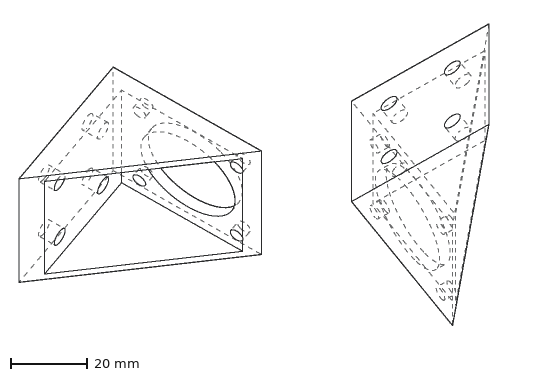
import cadquery as cq

width = 47.3
depth = 43.5
height = 47.3

side_wall = 5.0
back_wall = 3.4
end_wall = 2.5

motor_x = 26.15
motor_bore_diameter = 30.0
motor_screw_pitch = 31.0
motor_screw_diameter = 4.0

fixing_y = -21.9
fixing_z = 23.75
fixing_pitch_y = 20.0
fixing_pitch_z = 24.97
fixing_diameter = 5.0

motor_z = height / 2


def make_wedge():
    outline = [(0, 0), (width, 0), (0, -depth)]
    return cq.Workplane("XY").polyline(outline).close().extrude(height)


def make_pocket():
    return cq.Workplane("XY").box(
        width, depth, height - 2 * end_wall, centered=False
    ).translate((side_wall, -back_wall - depth, end_wall))


def make_motor_holes():
    face = cq.Workplane("XZ", origin=(motor_x, 0, motor_z))
    bore = face.circle(motor_bore_diameter / 2).extrude(back_wall)
    screws = (
        face.rect(motor_screw_pitch, motor_screw_pitch, forConstruction=True)
        .vertices()
        .circle(motor_screw_diameter / 2)
        .extrude(back_wall)
    )
    return bore.union(screws)


def make_fixing_holes():
    return (
        cq.Workplane("YZ", origin=(0, fixing_y, fixing_z))
        .rect(fixing_pitch_y, fixing_pitch_z, forConstruction=True)
        .vertices()
        .circle(fixing_diameter / 2)
        .extrude(side_wall)
    )


result = make_wedge().cut(make_pocket()).cut(make_motor_holes()).cut(make_fixing_holes())